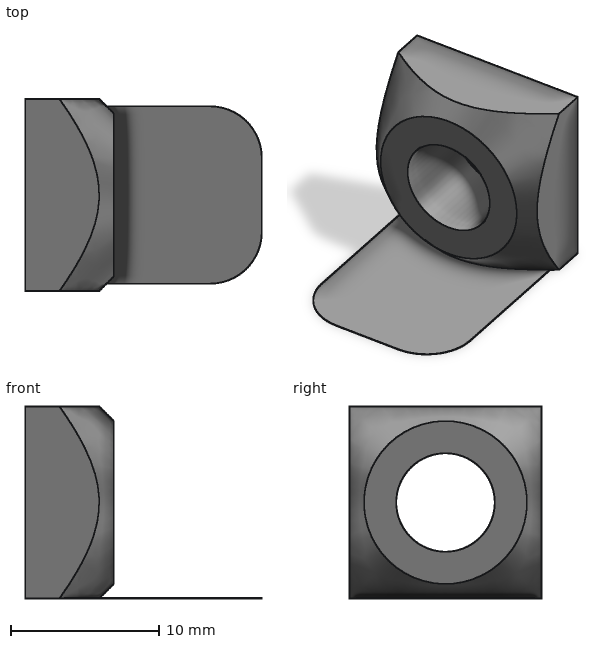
import cadquery as cq

block_side = 13.0
block_depth = 6.0
bore_diameter = 6.64

face_radius = 5.5

total_length = 16
tab_width = 12
tab_thickness = 0.05
tab_corner_radius = 3.5


def make_block():
    """Square block standing on Z = 0, with its back face at X = 0."""
    return cq.Workplane("XY").box(
        block_depth, block_side, block_side, centered=(False, True, False)
    )


def make_turned_envelope():
    """Solid of revolution around the bore axis, narrowing at 45 degrees to the +X face."""
    back_radius = face_radius + block_depth
    return (
        cq.Workplane("XY")
        .polyline([(0, 0), (0, back_radius), (block_depth, face_radius), (block_depth, 0)])
        .close()
        .revolve(360, (0, 0, 0), (1, 0, 0))
        .translate((0, 0, block_side / 2))
    )


def make_bore():
    """Through hole cutter along X at the centre of the block."""
    return (
        cq.Workplane("YZ", origin=(0, 0, block_side / 2))
        .circle(bore_diameter / 2)
        .extrude(block_depth)
    )


def make_tab():
    """Thin plate flush with the block's underside, rounded at its free corners."""
    return (
        cq.Workplane("XY")
        .box(total_length, tab_width, tab_thickness, centered=(False, True, False))
        .edges("|Z and >X")
        .fillet(tab_corner_radius)
    )


nut = make_block().intersect(make_turned_envelope()).cut(make_bore())
result = nut.union(make_tab())